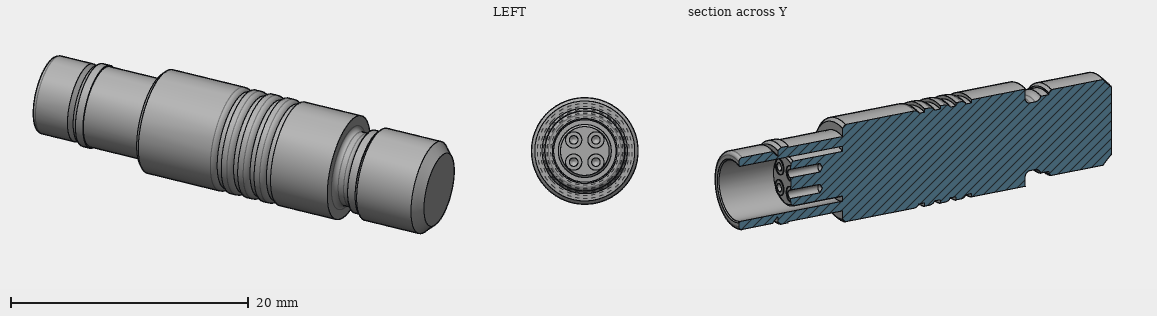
import cadquery as cq
import math


nose_radius = 3.4
lip_fillet = 0.32
nose_taper_start = 3.28
nose_taper = 0.5

collar_radius = 3.6
collar_start = nose_taper_start + nose_taper
collar_lead_length = 0.32
collar_lead_depth = 0.25
collar_end = 4.8
shank_radius = 3.5

body_radius = 4.5
body_start = 10.0
body_end = 27.7
body_chamfer = 0.3

groove_count = 4
groove_pitch = 1.5
first_groove_start = 16.92
groove_length = 1.0
groove_depth = 0.3
groove_arc_run = 0.5

neck_radius = 3.2
neck_fillet = 0.45
neck_arc_run = 0.55
rear_collar_start = 29.15
rear_collar_end = 29.9
coupling_radius = 4.0
coupling_lead = 0.25
overall_length = 36.0
coupling_chamfer = 0.83

bore_radius = 2.63
bore_depth = body_start
mouth_chamfer = 0.1
insert_radius = 2.25
insert_chamfer = 0.18
insert_front = 5.05
contact_radius = 0.7
contact_offset = 0.95
contact_protrusion = 0.07
socket_radius = 0.35
socket_depth = 2.88
socket_tip_angle = 118.0


def cylinder(radius, start, end):
    """Solid cylinder along X between two stations."""
    return cq.Workplane("YZ", origin=(start, 0, 0)).circle(radius).extrude(end - start)


def tangent_arc_radius(run, rise):
    """Radius of an arc that leaves a line along X tangentially and moves off it by rise over run."""
    return (run**2 + rise**2) / (2 * rise)


def add_groove(outline, start):
    """Continue the outline along the body surface and through one grip groove."""
    floor_radius = body_radius - groove_depth
    arc_radius = tangent_arc_radius(groove_arc_run, groove_depth)
    end = start + groove_length
    return (
        outline.lineTo(start, body_radius)
        .radiusArc((start + groove_arc_run, floor_radius), arc_radius)
        .lineTo(end, floor_radius)
        .lineTo(end, body_radius)
    )


def make_shell():
    """Outer turned shape, solid inside."""
    outline = (
        cq.Workplane("XY")
        .moveTo(0, 0)
        .lineTo(0, nose_radius - lip_fillet)
        .radiusArc((lip_fillet, nose_radius), lip_fillet)
        .lineTo(nose_taper_start, nose_radius)
        .lineTo(collar_start, nose_radius - nose_taper)
        .lineTo(collar_start, collar_radius - collar_lead_depth)
        .lineTo(collar_start + collar_lead_length, collar_radius)
        .lineTo(collar_end, collar_radius)
        .lineTo(collar_end, shank_radius)
        .lineTo(body_start, shank_radius)
        .lineTo(body_start, body_radius - body_chamfer)
        .lineTo(body_start + body_chamfer, body_radius)
    )
    for i in range(groove_count):
        outline = add_groove(outline, first_groove_start + i * groove_pitch)
    neck_arc_radius = tangent_arc_radius(neck_arc_run, collar_radius - neck_radius)
    outline = (
        outline.lineTo(body_end, body_radius)
        .lineTo(body_end, neck_radius + neck_fillet)
        .radiusArc((body_end + neck_fillet, neck_radius), -neck_fillet)
        .lineTo(rear_collar_start - neck_arc_run, neck_radius)
        .radiusArc((rear_collar_start, collar_radius), -neck_arc_radius)
        .lineTo(rear_collar_end, collar_radius)
        .lineTo(rear_collar_end, coupling_radius - coupling_lead)
        .lineTo(rear_collar_end + coupling_lead, coupling_radius)
        .lineTo(overall_length - coupling_chamfer, coupling_radius)
        .lineTo(overall_length, coupling_radius - coupling_chamfer)
        .lineTo(overall_length, 0)
        .close()
    )
    return outline.revolve(360, (0, 0, 0), (1, 0, 0))


def make_bore():
    """Front bore with a chamfered mouth."""
    return (
        cq.Workplane("XY")
        .moveTo(0, 0)
        .lineTo(0, bore_radius + mouth_chamfer)
        .lineTo(mouth_chamfer, bore_radius)
        .lineTo(bore_depth, bore_radius)
        .lineTo(bore_depth, 0)
        .close()
        .revolve(360, (0, 0, 0), (1, 0, 0))
    )


def make_insert():
    """Contact insert standing on the bore floor, chamfered at its front edge."""
    return cylinder(insert_radius, insert_front, bore_depth).faces("<X").chamfer(insert_chamfer)


def make_socket(front):
    """Drilled socket on the X axis with a conical bottom."""
    bottom = front + socket_depth
    tip_length = socket_radius / math.tan(math.radians(socket_tip_angle / 2))
    return (
        cq.Workplane("XY")
        .moveTo(front, 0)
        .lineTo(front, socket_radius)
        .lineTo(bottom, socket_radius)
        .lineTo(bottom + tip_length, 0)
        .close()
        .revolve(360, (0, 0, 0), (1, 0, 0))
    )


result = make_shell().cut(make_bore()).union(make_insert())

contact_front = insert_front - contact_protrusion
contact = cylinder(contact_radius, contact_front, bore_depth)
socket = make_socket(contact_front)
for y in (-contact_offset, contact_offset):
    for z in (-contact_offset, contact_offset):
        result = result.union(contact.translate((0, y, z)))
        result = result.cut(socket.translate((0, y, z)))